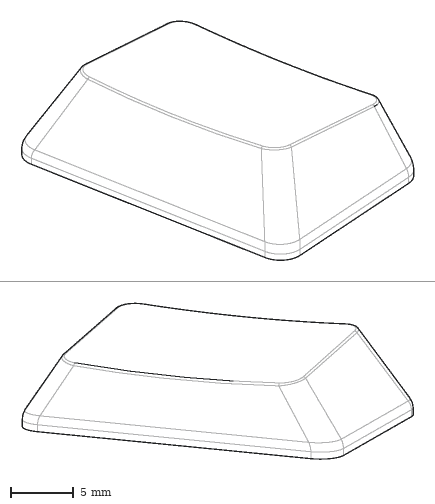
import cadquery as cq
import math

length = 27.7
width = 18.16
corner_radius = 2.0
plinth_height = 0.58

break_height = 0.75

side_lean = 0.52
front_lean = 0.53
back_lean = 0.09

top_length = 20.65
top_corner_radius = 1.72
blank_mid_height = 7.15

dish_radius = 132.9
dish_mid_height = 6.6
dish_tilt = 7.1
dish_length = 55.38
tilt = math.radians(dish_tilt)
rim_radius = 0.22


def section(height, lean_run, radius):
    """Rounded rectangle whose sides move inward by their lean times lean_run."""
    size_x = length - 2 * side_lean * lean_run
    size_y = width - (front_lean + back_lean) * lean_run
    shift_y = (front_lean - back_lean) * lean_run / 2
    outline = cq.Sketch().rect(size_x, size_y).vertices().fillet(radius)
    return outline.moved(cq.Location(cq.Vector(0, shift_y, height)))


def make_plinth():
    return cq.Workplane("XY").placeSketch(section(0, 0, corner_radius)).extrude(plinth_height)


def make_break_band():
    """Curved band: a parabola that leaves the plinth upright and ends at the wall lean."""
    sections = []
    for fraction in (0, 0.5, 1):
        height = plinth_height + fraction * break_height
        lean_run = fraction**2 * break_height / 2
        sections.append(section(height, lean_run, corner_radius))
    return cq.Workplane("XY").placeSketch(*sections).loft()


def make_leaning_body():
    """Ruled walls from the band up to a rectangle tilted like the dish."""
    bottom = section(plinth_height + break_height, break_height / 2, corner_radius)

    slope = math.tan(tilt)
    rise = blank_mid_height - plinth_height - break_height / 2
    front_y = (front_lean * rise - width / 2) / (1 + front_lean * slope)
    back_y = (width / 2 - back_lean * rise) / (1 - back_lean * slope)
    middle_y = (front_y + back_y) / 2
    top_width = (back_y - front_y) / math.cos(tilt)
    top_location = cq.Location(
        cq.Vector(0, middle_y, blank_mid_height - slope * middle_y),
        cq.Vector(1, 0, 0),
        -dish_tilt,
    )
    top = cq.Sketch().rect(top_length, top_width).vertices().fillet(top_corner_radius)
    return cq.Workplane("XY").placeSketch(bottom, top.moved(top_location)).loft(ruled=True)


def make_dish_cutter():
    axis_direction = cq.Vector(0, -math.cos(tilt), math.sin(tilt))
    up = cq.Vector(0, math.sin(tilt), math.cos(tilt))
    lowest_point = cq.Vector(0, 0, dish_mid_height)
    start = lowest_point + up * dish_radius - axis_direction * (dish_length / 2)
    return cq.Workplane(cq.Solid.makeCylinder(dish_radius, dish_length, start, axis_direction))


body = make_leaning_body().cut(make_dish_cutter())
dish_face = body.faces(cq.selectors.NearestToPointSelector((0, 0, dish_mid_height)))
body = dish_face.edges().fillet(rim_radius)

result = make_plinth().union(make_break_band()).union(body)